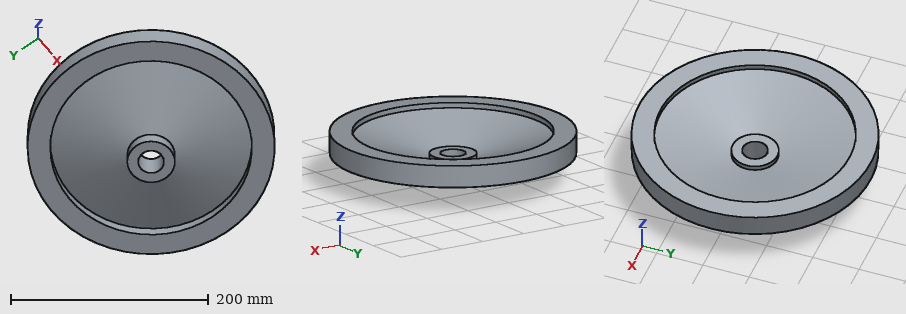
import cadquery as cq

outer_radius = 125.0
total_height = 51.0

rim_size = 23.0
rim_inner_radius = outer_radius - rim_size
rim_bottom = total_height - rim_size

hub_radius = 24.0
bore_radius = 13.0
hub_height = 28.0

web_hub_bottom = 13.8
web_hub_top = 23.0
web_rim_bottom = 40.0
dish_lip = 5.5
web_rim_top = total_height - dish_lip

half_section = (
    cq.Workplane("XZ")
    .moveTo(bore_radius, 0)
    .lineTo(hub_radius, 0)
    .lineTo(hub_radius, web_hub_bottom)
    .lineTo(rim_inner_radius, web_rim_bottom)
    .lineTo(rim_inner_radius, rim_bottom)
    .lineTo(outer_radius, rim_bottom)
    .lineTo(outer_radius, total_height)
    .lineTo(rim_inner_radius, total_height)
    .lineTo(rim_inner_radius, web_rim_top)
    .lineTo(hub_radius, web_hub_top)
    .lineTo(hub_radius, hub_height)
    .lineTo(bore_radius, hub_height)
    .close()
)

result = half_section.revolve(360, (0, 0, 0), (0, 1, 0))